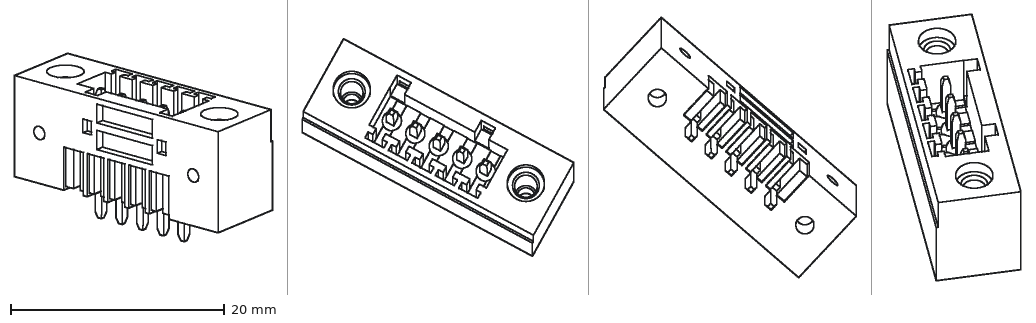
import cadquery as cq


length = 24.6
height = 10.09
depth = 8.1
front_y = -3.89
back_y = front_y + depth
back_step_depth = 0.2
back_step_z = 6.9

pin_count = 5
pin_row_span = 10.0
pitch = pin_row_span / (pin_count - 1)
pin_width = 0.79
pin_end_width = 0.42
pin_taper = 0.65
pin_top_z = 9.35
pin_bottom_z = -3.52
pin_xs = [(i - (pin_count - 1) / 2) * pitch for i in range(pin_count)]
pin_front_y = -pin_width / 2

cavity_width = 12.52
cavity_front_y = -1.97
cavity_back_y = 2.16
cavity_floor_z = 5.0

t_groove_depth = 0.25
t_floor_z = cavity_floor_z - t_groove_depth
t_stem_width = 1.0
t_head_width = 2.02
t_head_front_y = 2.8
t_head_back_y = 3.42

boss_diameter = 1.8
boss_height = 0.37
boss_round = 0.3

key_offset_x = 0.98
key_spacing = 9.0
key_width = 1.5
key_front_y = -3.25
key_floor_rise = 0.5
key_floor_z = cavity_floor_z + key_floor_rise
key_window_width = 1.0
key_window_bottom_z = 6.27
key_window_top_z = 7.63
key_xs = [key_offset_x - key_spacing / 2, key_offset_x + key_spacing / 2]

pocket_width = 6.7
pocket_depth = 0.85
pocket_heights = [(4.97, 6.9), (7.63, 9.5)]

slot_top_z = 4.3
slot_depth = 0.3
slot_width = 2.02
slot_row_half_width = 6.35
channel_wall = 0.5
channel_wall_bottom_z = 1.48
standoff = 0.3

insert_spacing = 18.6
insert_diameter = 3.5
insert_bore = 2.12
insert_mouth_width = 0.2
insert_mouth_depth = 0.42
insert_sink = 1.18
insert_top_z = height - insert_sink
insert_bottom_z = 3.0
screw_clearance = 1.7
side_hole_diameter = 1.3
side_hole_z = 5.05
insert_xs = [-insert_spacing / 2, insert_spacing / 2]


def box(x0, x1, y0, y1, z0, z1):
    """Box between two opposite corners."""
    return cq.Workplane("XY").box(x1 - x0, y1 - y0, z1 - z0, centered=False).translate((x0, y0, z0))


def centered_box(x, width, y0, y1, z0, z1):
    """Box of the given width centred on x."""
    return box(x - width / 2, x + width / 2, y0, y1, z0, z1)


def cylinder(x, diameter, z0, z1):
    """Upright cylinder on the pin row's centre line."""
    return cq.Workplane("XY", origin=(x, 0, z0)).circle(diameter / 2).extrude(z1 - z0)


def pin_taper_end(x, z, direction):
    """Pyramid-shaped end that starts at z and points up (1) or down (-1)."""
    return (
        cq.Workplane("XY", origin=(x, 0, z))
        .rect(pin_width, pin_width)
        .workplane(offset=direction * pin_taper)
        .rect(pin_end_width, pin_end_width)
        .loft()
    )


def make_pin(x):
    """Straight square pin, tapered at both ends."""
    shaft_bottom = pin_bottom_z + pin_taper
    shaft_top = pin_top_z - pin_taper
    shaft = centered_box(x, pin_width, pin_front_y, -pin_front_y, shaft_bottom, shaft_top)
    return shaft.union(pin_taper_end(x, shaft_top, 1)).union(pin_taper_end(x, shaft_bottom, -1))


def make_insert(x):
    """Bushing with a conical bore mouth."""
    bushing = cylinder(x, insert_diameter, insert_bottom_z, insert_top_z)
    bore = cylinder(x, insert_bore, insert_bottom_z, insert_top_z)
    mouth = (
        cq.Workplane("XY", origin=(x, 0, insert_top_z))
        .circle(insert_bore / 2 + insert_mouth_width)
        .workplane(offset=-insert_mouth_depth)
        .circle(insert_bore / 2)
        .loft()
    )
    return bushing.cut(bore).cut(mouth)


def housing_block():
    """Outer block with the shallow step in its rear face."""
    block = box(-length / 2, length / 2, front_y, back_y, 0, height)
    step = box(-length / 2, length / 2, back_y - back_step_depth, back_y, back_step_z, height)
    return block.cut(step)


def mating_cavity():
    """Space cut for the plug: the main cavity, keying slots and T-slots."""
    space = centered_box(0, cavity_width, cavity_front_y, cavity_back_y, cavity_floor_z, height)
    for x in key_xs:
        space = space.union(centered_box(x, key_width, key_front_y, cavity_front_y, key_floor_z, height))
    for x in pin_xs:
        space = space.union(centered_box(x, t_stem_width, cavity_front_y, t_head_front_y, t_floor_z, height))
        space = space.union(centered_box(x, t_head_width, t_head_front_y, t_head_back_y, t_floor_z, height))
    return space


def pin_boss(x):
    """Round boss with a rounded rim, reaching down to the groove floor."""
    boss = cylinder(x, boss_diameter, t_floor_z, cavity_floor_z + boss_height)
    return boss.faces(">Z").edges().fillet(boss_round)


def front_openings():
    """Pockets and keying windows cut into the front face."""
    openings = cq.Workplane("XY")
    for bottom, top in pocket_heights:
        openings = openings.add(
            centered_box(key_offset_x, pocket_width, front_y, front_y + pocket_depth, bottom, top)
        )
    for x in key_xs:
        openings = openings.add(
            centered_box(x, key_window_width, front_y, key_front_y, key_window_bottom_z, key_window_top_z)
        )
    return openings.combine()


def pin_slot(x):
    """Lower front slot with its underside recess and the pin channel."""
    left = x - slot_width / 2
    right = x + slot_width / 2
    if x == pin_xs[0]:
        left = -slot_row_half_width
    if x == pin_xs[-1]:
        right = slot_row_half_width
    face = box(left, right, front_y, front_y + slot_depth, 0, slot_top_z)
    recess = box(left, right, front_y, pin_front_y, 0, standoff)
    channel = centered_box(x, pin_width, front_y, pin_front_y - channel_wall, 0, slot_top_z)
    passage = centered_box(x, pin_width, front_y, pin_front_y, 0, channel_wall_bottom_z)
    return face.union(recess).union(channel).union(passage)


def insert_seat(x):
    """Stepped bore for an insert, and the side hole that meets it from the front face."""
    seat = cylinder(x, insert_diameter, insert_bottom_z, height)
    clearance = cylinder(x, screw_clearance, 0, insert_bottom_z)
    side_hole = (
        cq.Workplane("XZ", origin=(x, front_y, side_hole_z))
        .circle(side_hole_diameter / 2)
        .extrude(front_y)
    )
    return seat.union(clearance).union(side_hole)


def make_housing():
    """Housing with all its openings; pins and inserts sit in matching holes."""
    housing = housing_block().cut(mating_cavity()).cut(front_openings())
    for x in pin_xs:
        housing = housing.union(pin_boss(x)).cut(pin_slot(x)).cut(make_pin(x))
    for x in insert_xs:
        housing = housing.cut(insert_seat(x))
    return housing


housing = make_housing()
pins = [make_pin(x) for x in pin_xs]
inserts = [make_insert(x) for x in insert_xs]

result = cq.Compound.makeCompound(
    [housing.val(), *[pin.val() for pin in pins], *[insert.val() for insert in inserts]]
)